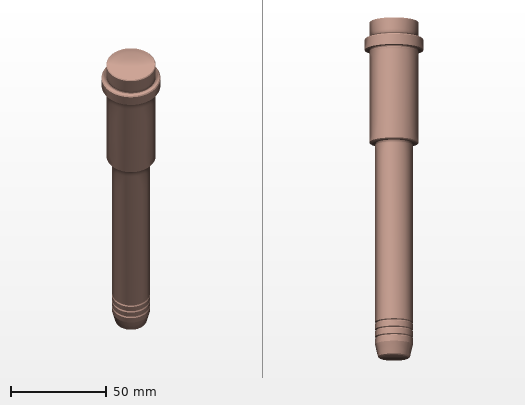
import cadquery as cq

length = 180.0
head_height = 9.0
collar_height = 6.0
shoulder_depth = 65.0

collar_diameter = 31.0
body_diameter = 26.0
shank_diameter = 20.0
tip_diameter = 16.5

collar_chamfer = 0.5
body_chamfer = 0.45
tip_chamfer = 0.5

relief_width = 1.0
neck_width = 1.0
neck_depth = 0.4
relief_depth = 0.2
taper_height = 7.0
ring_groove_width = 1.0
ring_groove_depth = 0.5
ring_groove_count = 3
ring_groove_pitch = 4.0
first_ring_groove = 10.6

collar_top = length - head_height
collar_bottom = collar_top - collar_height
shoulder = length - shoulder_depth


def cylinder(diameter, bottom, top):
    """Solid cylinder on the Z axis between two heights."""
    return cq.Workplane("XY").workplane(offset=bottom).circle(diameter / 2).extrude(top - bottom)


def ring_cut(diameter, depth, bottom, width):
    """Ring that cuts a square groove into a cylinder of the given diameter."""
    return cylinder(collar_diameter, bottom, bottom + width).cut(
        cylinder(diameter - 2 * depth, bottom, bottom + width)
    )


def vee_cut(diameter, depth, bottom, width):
    """Ring that cuts a V-shaped groove into a cylinder of the given diameter."""
    radius = diameter / 2
    return (
        cq.Workplane("XZ")
        .polyline([(radius, bottom), (radius - depth, bottom + width / 2), (radius, bottom + width)])
        .close()
        .revolve(360, (0, 0), (0, 1))
    )


body = cylinder(body_diameter, shoulder, length).faces("<Z or >Z").edges().chamfer(body_chamfer)

for groove_bottom in (collar_top, collar_bottom - relief_width):
    body = body.cut(vee_cut(body_diameter, relief_depth, groove_bottom, relief_width))

collar = cylinder(collar_diameter, collar_bottom, collar_top).faces(">Z").edges().chamfer(collar_chamfer)

shank = cylinder(shank_diameter, taper_height, shoulder)
shank = shank.cut(ring_cut(shank_diameter, neck_depth, shoulder - neck_width, neck_width))

for index in range(ring_groove_count):
    groove_centre = first_ring_groove + index * ring_groove_pitch
    groove_bottom = groove_centre - ring_groove_width / 2
    shank = shank.cut(vee_cut(shank_diameter, ring_groove_depth, groove_bottom, ring_groove_width))

taper = (
    cq.Workplane("XZ")
    .polyline([(0, 0), (tip_diameter / 2, 0), (shank_diameter / 2, taper_height), (0, taper_height)])
    .close()
    .revolve(360, (0, 0), (0, 1))
    .faces("<Z")
    .edges()
    .chamfer(tip_chamfer)
)

result = body.union(collar).union(shank).union(taper)